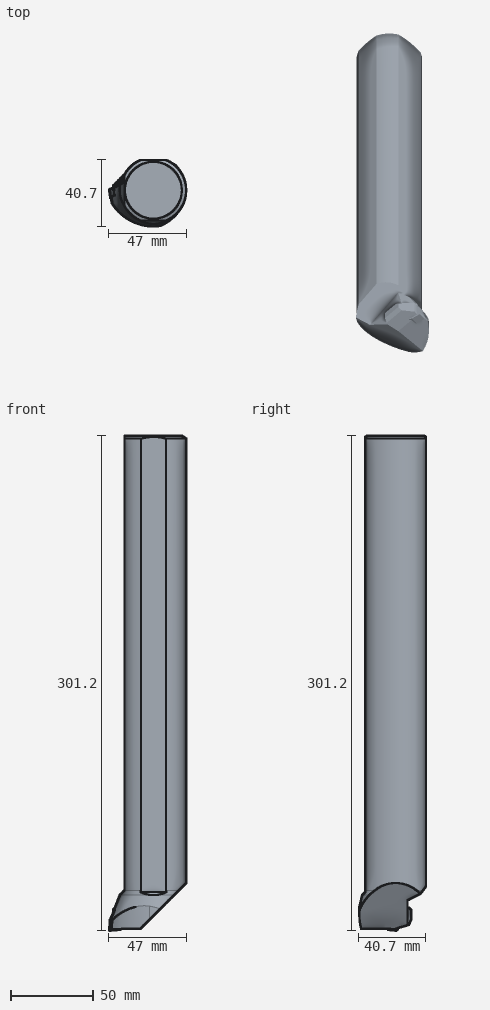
import cadquery as cq
import math

LENGTH = 301.2
OVERALL_WIDTH = 47.0
OVERALL_DEPTH = 40.7
SHANK_RADIUS = 40.0 / 2
SIDE_FLAT = 37.7 - SHANK_RADIUS
EDGE_FLAT = 37.0 / 2
TOP_CHAMFER_DEPTH = 2.7
TOP_CHAMFER_HEIGHT = 1.8

HEAD_TOP = 21.7
COLLAR_TOP = 24.5
COLLAR_RADIUS = 20.5

HEAD_BOTTOM = 1.2
HEAD_BASE_RADIUS = 25.3
HEAD_BASE_SHIFT = 3.3
HEAD_ARC_RADIUS = 30.7
HEAD_BACK_RADIUS = OVERALL_DEPTH - EDGE_FLAT
ARC_JOINT_X = -2.5
HEAD_LEFT = -28.0
HEAD_LEFT_Y = -2.5
BACK_CUT_OFFSET = 9.0

GULLET_FLOOR = 17.8
GULLET_FLOOR_Z = 13.5
GULLET_TILT = 8.0
GULLET_SIDE = 7.2
END_WALL_POINT = (-SIDE_FLAT, 9.3, 30.5)
END_WALL_NORMAL = (-0.3, 0.55, -0.78)

NOSE_FACE = 19.3
NOSE_LEFT = -24.7
NOSE_RIGHT = -6.0
NOSE_HEIGHT = 9.5
NOSE_TOP = 14.2
NOSE_SHOULDER = 1.5
NOSE_BEVEL = 3.0

RELIEF_BEND_Y = 8.0
RELIEF_BEND_Z = 3.5
RELIEF_TOP = 7.2

INSERT_CIRCLE = 9.5
INSERT_THICKNESS = 4.8
CORNER_ANGLE = 80.0
TIP_DIRECTION = 225.0
CORNER_ROUNDING = 0.5
ROUNDING_LOSS = 0.05
INSERT_TIP = (SHANK_RADIUS - OVERALL_WIDTH - ROUNDING_LOSS, 0, -ROUNDING_LOSS)
RAKE_NORMAL = (-0.14, 0.98, -0.1)
FLANK_LEAN = 5.0
UPPER_FLANK_TURN = 20.0
FLANK_BEND = 6.5
FLANK_TOP = 12.7

BODY_INSET = 0.45
BELOW_TIP = 3.0
RAKE_WIDTH = 15.0
RAKE_HEIGHT = 16.3
CUT_REACH = 90.5

DIAGONAL = (-1, 1, 0)


def reverse(vector):
    return tuple(-value for value in vector)


def space_beyond(point, normal):
    """Large block filling the side of a plane that its normal points to."""
    facing = cq.Workplane(cq.Plane(origin=point, normal=normal))
    return facing.rect(2 * CUT_REACH, 2 * CUT_REACH).extrude(CUT_REACH)


def make_shank():
    profile = [
        (0, HEAD_TOP),
        (COLLAR_RADIUS, HEAD_TOP),
        (SHANK_RADIUS, COLLAR_TOP),
        (SHANK_RADIUS, LENGTH - TOP_CHAMFER_HEIGHT),
        (SHANK_RADIUS - TOP_CHAMFER_DEPTH, LENGTH),
        (0, LENGTH),
    ]
    shank = cq.Workplane("XZ").polyline(profile).close().revolve(360, (0, 0), (0, 1))
    for flat, angle in ((EDGE_FLAT, 90), (SIDE_FLAT, 180), (EDGE_FLAT, 270)):
        shank = shank.cut(flat_cutter(flat).rotate((0, 0, 0), (0, 0, 1), angle))
    return shank


def flat_cutter(flat):
    """Cutter for a flat facing +X, running out at 45 degrees above the head."""
    runout = COLLAR_RADIUS - flat
    profile = [
        (flat, LENGTH),
        (flat, HEAD_TOP + runout),
        (COLLAR_RADIUS, HEAD_TOP),
        (CUT_REACH, HEAD_TOP),
        (CUT_REACH, LENGTH),
    ]
    return cq.Workplane("XZ").polyline(profile).close().extrude(CUT_REACH / 2, both=True)


def make_head():
    cone = (
        cq.Workplane("XY", origin=(0, 0, HEAD_TOP))
        .circle(COLLAR_RADIUS)
        .workplane(offset=HEAD_BOTTOM - HEAD_TOP)
        .center(-HEAD_BASE_SHIFT, 0)
        .circle(HEAD_BASE_RADIUS)
        .loft(ruled=True)
    )
    joint = (ARC_JOINT_X, -math.sqrt(HEAD_BACK_RADIUS**2 - ARC_JOINT_X**2))
    outline = (
        cq.Workplane("XY")
        .moveTo(HEAD_BACK_RADIUS, 0)
        .radiusArc(joint, HEAD_BACK_RADIUS)
        .radiusArc((HEAD_LEFT, HEAD_LEFT_Y), HEAD_ARC_RADIUS)
        .lineTo(HEAD_LEFT, CUT_REACH)
        .lineTo(HEAD_BACK_RADIUS, CUT_REACH)
        .close()
        .extrude(HEAD_TOP)
    )
    return cone.intersect(outline)


def make_gullet():
    """Space cleared for chips: below the end wall, outside the floor or beyond the side."""
    tilt = math.radians(GULLET_TILT)
    reach = GULLET_FLOOR / math.sqrt(2)
    floor_normal = (-math.cos(tilt), math.cos(tilt), math.sqrt(2) * math.sin(tilt))
    outside_floor = space_beyond((-reach, reach, GULLET_FLOOR_Z), floor_normal)
    beyond_side = space_beyond((0, GULLET_SIDE, 0), (0, 1, 0))
    below_wall = space_beyond(END_WALL_POINT, END_WALL_NORMAL)
    return outside_floor.union(beyond_side).intersect(below_wall)


def make_clamp_nose():
    profile = [
        (0, 0),
        (0, NOSE_TOP),
        (NOSE_HEIGHT - NOSE_SHOULDER, NOSE_TOP),
        (NOSE_HEIGHT, NOSE_TOP - NOSE_SHOULDER),
        (NOSE_HEIGHT, 0),
    ]
    block = (
        cq.Workplane("YZ", origin=(NOSE_LEFT, 0, 0))
        .polyline(profile)
        .close()
        .extrude(NOSE_RIGHT - NOSE_LEFT)
    )
    reach = NOSE_FACE / math.sqrt(2)
    block = block.cut(space_beyond((-reach, reach, 0), DIAGONAL))
    bevel_normal = (DIAGONAL[0], DIAGONAL[1], math.sqrt(2))
    return block.cut(space_beyond((-reach, reach, NOSE_TOP - NOSE_BEVEL), bevel_normal))


def make_underside_relief():
    """Space under the rising underside on the +Y side of the head."""
    profile = [
        (0, 0),
        (0, HEAD_BOTTOM),
        (RELIEF_BEND_Y, RELIEF_BEND_Z),
        (NOSE_HEIGHT, RELIEF_TOP),
        (CUT_REACH, RELIEF_TOP),
        (CUT_REACH, 0),
    ]
    return cq.Workplane("YZ").polyline(profile).close().extrude(CUT_REACH, both=True)


def insert_plane():
    """Rake plane with its origin at the tip, X along the bar's +X and its normal into the head."""
    return cq.Plane(
        origin=INSERT_TIP,
        xDir=(RAKE_NORMAL[1], -RAKE_NORMAL[0], 0),
        normal=reverse(RAKE_NORMAL),
    )


def make_insert():
    inner_radius = INSERT_CIRCLE / 2
    corner_radius = inner_radius / math.sin(math.radians(CORNER_ANGLE / 2))
    middle_radius = inner_radius / math.sin(math.radians(CORNER_ANGLE))
    center = corner_radius * math.cos(math.radians(TIP_DIRECTION - 180))
    points = []
    for corner in range(3):
        for radius, turn in ((corner_radius, 0), (middle_radius, 60)):
            angle = math.radians(TIP_DIRECTION + 120 * corner + turn)
            points.append((center + radius * math.cos(angle), center + radius * math.sin(angle)))
    plate = cq.Workplane(insert_plane()).polyline(points).close().extrude(INSERT_THICKNESS)
    side_edges = plate.edges(cq.selectors.ParallelDirSelector(cq.Vector(RAKE_NORMAL)))
    halfway = (corner_radius + middle_radius) / 2
    middle = plate.val().Center()
    corners = [edge for edge in side_edges.vals() if (edge.Center() - middle).Length > halfway]
    return plate.newObject(corners).fillet(CORNER_ROUNDING)


def make_flank_clearance():
    """Everything outside lines set back from the insert's two upright flanks."""
    lower_slope = math.tan(math.radians(FLANK_LEAN))
    upper_slope = math.tan(math.radians(FLANK_LEAN + UPPER_FLANK_TURN))
    start = (BODY_INSET - lower_slope * BELOW_TIP, -BELOW_TIP)
    bend = (BODY_INSET + lower_slope * FLANK_BEND, FLANK_BEND)
    top = (bend[0] + upper_slope * (FLANK_TOP - FLANK_BEND), FLANK_TOP)
    lower_region = [start, bend, (-CUT_REACH, FLANK_BEND), (-CUT_REACH, -BELOW_TIP)]
    upper_region = [bend, top, (-CUT_REACH, FLANK_TOP), (-CUT_REACH, FLANK_BEND)]
    rake = cq.Workplane(insert_plane())
    beside_lower = rake.polyline(lower_region).close().extrude(CUT_REACH, both=True)
    beside_upper = rake.polyline(upper_region).close().extrude(INSERT_THICKNESS)
    return beside_lower.union(beside_upper)


def make_rake_clearance():
    """Open space in front of the rake face."""
    window = cq.Workplane(insert_plane()).moveTo(-BELOW_TIP, -BELOW_TIP)
    return window.rect(RAKE_WIDTH, RAKE_HEIGHT, centered=False).extrude(-CUT_REACH)


def make_bar(insert):
    """Shank, head and clamp nose in one piece, with a seat that fits the insert."""
    head = make_head().cut(make_flank_clearance())
    bar = make_shank().union(head)
    bar = bar.cut(make_gullet())
    bar = bar.cut(make_rake_clearance())
    bar = bar.union(make_clamp_nose())
    bar = bar.cut(space_beyond((-BACK_CUT_OFFSET, 0, 0), (1, 0, -1)))
    bar = bar.cut(make_underside_relief())
    return bar.cut(insert)


insert = make_insert()
bar = make_bar(insert)

result = cq.Compound.makeCompound([bar.solids().val(), insert.solids().val()])